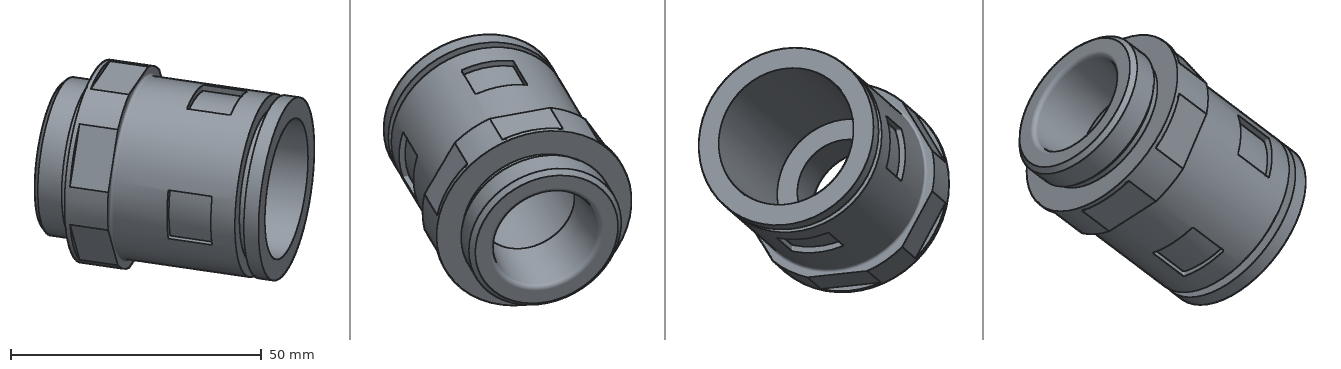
import cadquery as cq
import math

total_length = 48.0
thread_end = 6.0
neck_start = 6.8
flange_start = 8.0
flange_end = 9.0
hex_end = 17.05
groove_start = 43.05
groove_end = 44.95

thread_diameter = 32.0
neck_diameter = 30.15
flange_diameter = 41.0
hex_across_flats = 39.0
body_diameter = 37.0
groove_diameter = 30.95
thread_chamfer = 1.0
body_root_radius = 0.55

mouth_diameter = 22.0
mouth_radius = 1.0
throat_diameter = 20.0
throat_start = 12.4
throat_length = 0.3
socket_diameter = 28.5

window_count = 4
window_start = 28.85
window_end = 38.0
window_width = 10.9
window_floor_diameter = 34.5
window_corner_radius = 0.3

HEX_SIDES = 6


def cylinder(diameter, start, end):
    """Solid cylinder around the X axis."""
    return cq.Workplane("YZ").workplane(offset=start).circle(diameter / 2).extrude(end - start)


def revolve_about_x(profile):
    """Revolve a closed XY profile of (axial, radial) points around the X axis."""
    return profile.close().revolve(360, (0, 0, 0), (1, 0, 0))


def make_outside():
    thread_radius = thread_diameter / 2
    neck_radius = neck_diameter / 2
    flange_radius = flange_diameter / 2
    body_radius = body_diameter / 2
    groove_radius = groove_diameter / 2
    root_middle = body_root_radius * (1 - math.sqrt(0.5))
    profile = (
        cq.Workplane("XY")
        .moveTo(0, 0)
        .lineTo(0, thread_radius - thread_chamfer)
        .lineTo(thread_chamfer, thread_radius)
        .lineTo(thread_end, thread_radius)
        .lineTo(neck_start, neck_radius)
        .lineTo(flange_start, neck_radius)
        .lineTo(flange_start, flange_radius)
        .lineTo(hex_end, flange_radius)
        .lineTo(hex_end, body_radius + body_root_radius)
        .threePointArc(
            (hex_end + root_middle, body_radius + root_middle),
            (hex_end + body_root_radius, body_radius),
        )
        .lineTo(groove_start, body_radius)
        .lineTo(groove_start, groove_radius)
        .lineTo(groove_end, groove_radius)
        .lineTo(groove_end, body_radius)
        .lineTo(total_length, body_radius)
        .lineTo(total_length, 0)
    )
    return revolve_about_x(profile)


def make_hex_trim():
    """Material outside the hexagon, with flats facing +Z and -Z."""
    across_corners = hex_across_flats / math.cos(math.pi / HEX_SIDES)
    hexagon = (
        cq.Workplane("YZ")
        .workplane(offset=flange_end)
        .polygon(HEX_SIDES, across_corners)
        .extrude(hex_end - flange_end)
    )
    return cylinder(2 * flange_diameter, flange_end, hex_end).cut(hexagon)


def make_bore():
    bore_radius = mouth_diameter / 2
    throat_radius = throat_diameter / 2
    socket_radius = socket_diameter / 2
    throat_end = throat_start + throat_length
    mouth_middle = mouth_radius * (1 - math.sqrt(0.5))
    profile = (
        cq.Workplane("XY")
        .moveTo(0, 0)
        .lineTo(0, bore_radius + mouth_radius)
        .threePointArc(
            (mouth_middle, bore_radius + mouth_middle),
            (mouth_radius, bore_radius),
        )
        .lineTo(throat_start, throat_radius)
        .lineTo(throat_end, throat_radius)
        .lineTo(throat_end, socket_radius)
        .lineTo(total_length, socket_radius)
        .lineTo(total_length, 0)
    )
    return revolve_about_x(profile)


def make_window(angle):
    """Round-cornered pocket cutter whose floor is concentric with the body."""
    window_length = window_end - window_start
    cutter = (
        cq.Workplane("XY")
        .center((window_start + window_end) / 2, 0)
        .rect(window_length, window_width)
        .extrude(body_diameter)
        .edges("|Z")
        .fillet(window_corner_radius)
        .cut(cylinder(window_floor_diameter, 0, total_length))
    )
    return cutter.rotate((0, 0, 0), (1, 0, 0), angle)


result = make_outside().cut(make_hex_trim()).cut(make_bore())
for index in range(window_count):
    result = result.cut(make_window(index * 360 / window_count))